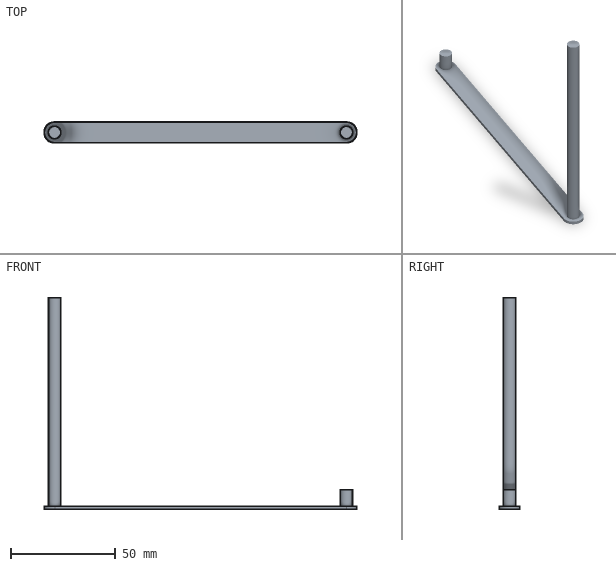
import cadquery as cq

bar_length = 150.0
bar_width = 10.0
bar_thickness = 1.5

pin_diameter = 6.0
total_height = 101.5
short_pin_height = 8.0

end_offset = (bar_length - bar_width) / 2
long_pin_height = total_height - bar_thickness


def make_pin(x, height):
    """Pin rooted at the underside of the bar, rising `height` above its top."""
    return cq.Workplane("XY").center(x, 0).circle(pin_diameter / 2).extrude(bar_thickness + height)


bar = cq.Workplane("XY").slot2D(bar_length, bar_width).extrude(bar_thickness)

result = bar.union(make_pin(-end_offset, long_pin_height)).union(make_pin(end_offset, short_pin_height))